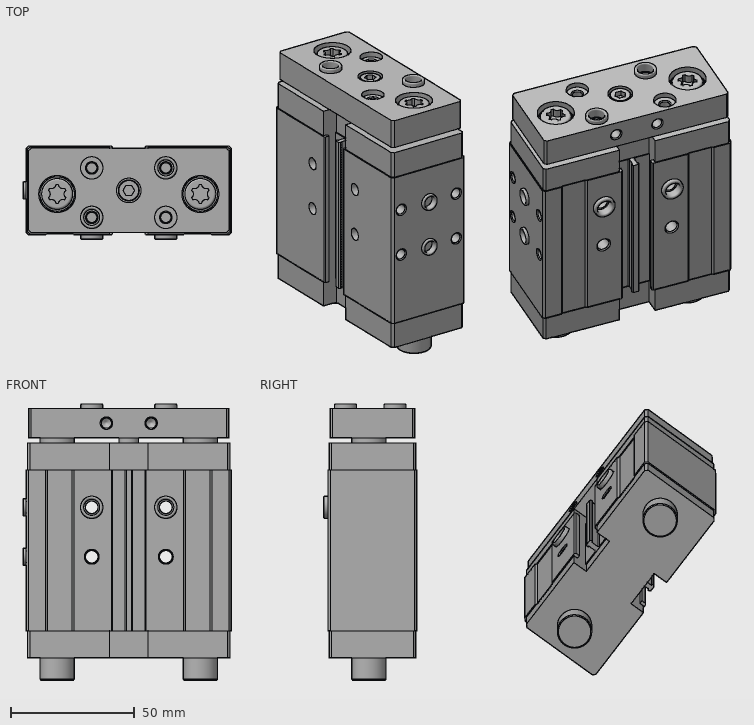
import cadquery as cq
import math


ROD_OVERHANG = 9.0
END_COVER_HEIGHT = 11.0
PROFILE_HEIGHT = 65.1
STROKE_GAP = 2.0
PLATE_THICKNESS = 12.0
PROFILE_BOTTOM = ROD_OVERHANG + END_COVER_HEIGHT
PROFILE_TOP = PROFILE_BOTTOM + PROFILE_HEIGHT
HOUSING_TOP = PROFILE_TOP + END_COVER_HEIGHT
PLATE_BOTTOM = HOUSING_TOP + STROKE_GAP
PLATE_TOP = PLATE_BOTTOM + PLATE_THICKNESS

PROFILE_WIDTH = 83.1
PROFILE_DEPTH = 36.0
COVER_WIDTH = 82.1
COVER_DEPTH = 35.1
PLATE_WIDTH = 80.9
PLATE_DEPTH = 34.2
CORNER_CHAMFER = 1.0

COVER_SLOT_WIDTH = 15.7
COVER_SLOT_FLOOR_Y = 11.3
PROFILE_SLOT_FLOOR_Y = 11.6
SLOT_MOUTH = 14.1
SLOT_LIP_CHAMFER = 0.6
SLOT_LIP_DEPTH = 2.2
RIB_WIDTH = 2.9
RIB_NECK_WIDTH = 2.0
RIB_TOP_Y = 16.2
RIB_HEAD_HEIGHT = 1.2

RELIEF_INNER = 22.5
RELIEF_OUTER = 33.2
RELIEF_DEPTH = 0.8

GUIDE_X = 29.0
GUIDE_Y = -1.5
GUIDE_DIAMETER = 14.0
GUIDE_END_CHAMFER = 0.5
HEAD_DIAMETER = 12.5
HEAD_FILLET = 0.9
HEAD_RECESS = 0.9
GUIDE_BORE_DIAMETER = 15.0
GUIDE_BORE_DEPTH = 3.4
TORX_TIP_RADIUS = 3.8
TORX_ROOT_RADIUS = 2.8
TORX_TIP_HALF_ANGLE = 8
TORX_LOBES = 6
TORX_PITCH = 360 / TORX_LOBES
TORX_DEPTH = 3.4

PISTON_DIAMETER = 8.0
PISTON_BORE_DIAMETER = 10.0
PISTON_BORE_DEPTH = 2.0
PISTON_END_DIAMETER = 8.5
PISTON_END_RECESS = 0.5
PISTON_END_CHAMFER = 0.2
HEX_ACROSS_FLATS = 4.0
HEX_DEPTH = 2.2

OVERALL_HEIGHT = 111.8
LARGE_SLEEVE = (9.0, 6.5, 2.1, OVERALL_HEIGHT - PLATE_TOP)
SMALL_SLEEVE = (7.0, 5.3, 1.6, 1.2)
SLEEVE_ROUNDING = 0.48

GRID_PITCH_X = 30.0
GRID_PITCH = 20.0
PLATE_GRID_Y = -0.9
UPPER_ROW_Z = 70.0
LOWER_ROW_Z = UPPER_ROW_Z - GRID_PITCH
MOUNTING_HOLE_DIAMETER = 5.0
MOUNTING_HOLE_MOUTH = 6.0
THREAD_CORE_DIAMETER = 4.1
THREAD_MOUTH_DIAMETER = 5.0
THREAD_DEPTH = 8.0
DRILL_TIP_ANGLE = 118
SIDE_HOLE_Y = 13.5
PLATE_HOLE_X = 9.0

X_AXIS = cq.Vector(1, 0, 0)
Y_AXIS = cq.Vector(0, 1, 0)
DOWN = cq.Vector(0, 0, -1)


def bar(diameter, length, start, direction):
    return cq.Workplane(obj=cq.Solid.makeCylinder(diameter / 2, length, cq.Vector(*start), direction))


def chamfered_block(width, depth, bottom, height):
    block = cq.Workplane("XY", origin=(0, 0, bottom)).rect(width, depth).extrude(height)
    return block.edges("|Z").chamfer(CORNER_CHAMFER)


def countersink(core, mouth, start, direction):
    cone = cq.Solid.makeCone(mouth / 2, core / 2, (mouth - core) / 2, cq.Vector(*start), direction)
    return cq.Workplane(obj=cone)


def threaded_hole(start, direction):
    """Blind hole with a countersunk mouth and a drill tip."""
    radius = THREAD_CORE_DIAMETER / 2
    tip_length = radius / math.tan(math.radians(DRILL_TIP_ANGLE / 2))
    tip_base = cq.Vector(*start) + direction * THREAD_DEPTH
    tip = cq.Workplane(obj=cq.Solid.makeCone(radius, 0, tip_length, tip_base, direction))
    hole = bar(THREAD_CORE_DIAMETER, THREAD_DEPTH, start, direction).union(tip)
    return hole.union(countersink(THREAD_CORE_DIAMETER, THREAD_MOUTH_DIAMETER, start, direction))



def sleeve(size, mouth, outward):
    """Ring seated in a recess whose mouth lies on the surface, projecting outward."""
    outer, bore, seat, projection = size
    length = seat + projection
    wall = (outer - bore) / 2
    ring = (
        cq.Workplane("XY")
        .circle(outer / 2)
        .circle(bore / 2)
        .extrude(length)
        .faces(">Z")
        .edges()
        .fillet(SLEEVE_ROUNDING * wall)
    )
    seat_floor = cq.Vector(*mouth) - outward * seat
    return ring.val().moved(cq.Plane(seat_floor, normal=outward).location)


def sleeve_seat(size, mouth, inward):
    outer, _, seat, _ = size
    return bar(outer, seat, mouth, inward)



def t_slot():
    """Cutter for the front slot of the profile, with its undercut lips and middle rib."""
    face = -PROFILE_DEPTH / 2
    lip_half = SLOT_MOUTH / 2 - SLOT_LIP_CHAMFER
    opening = (
        cq.Workplane("XY", origin=(0, 0, PROFILE_BOTTOM))
        .polyline([
            (-SLOT_MOUTH / 2, face),
            (-lip_half, face + SLOT_LIP_CHAMFER),
            (-lip_half, face + SLOT_LIP_DEPTH),
            (-COVER_SLOT_WIDTH / 2, face + SLOT_LIP_DEPTH),
            (-COVER_SLOT_WIDTH / 2, -PROFILE_SLOT_FLOOR_Y),
            (COVER_SLOT_WIDTH / 2, -PROFILE_SLOT_FLOOR_Y),
            (COVER_SLOT_WIDTH / 2, face + SLOT_LIP_DEPTH),
            (lip_half, face + SLOT_LIP_DEPTH),
            (lip_half, face + SLOT_LIP_CHAMFER),
            (SLOT_MOUTH / 2, face),
        ])
        .close()
        .extrude(PROFILE_HEIGHT)
    )
    bevel = (RIB_WIDTH - RIB_NECK_WIDTH) / 2
    rib = (
        cq.Workplane("XY", origin=(0, 0, PROFILE_BOTTOM))
        .moveTo(-RIB_WIDTH / 2, -PROFILE_SLOT_FLOOR_Y)
        .lineTo(-RIB_NECK_WIDTH / 2, -PROFILE_SLOT_FLOOR_Y - bevel)
        .lineTo(-RIB_NECK_WIDTH / 2, -RIB_TOP_Y + RIB_HEAD_HEIGHT)
        .lineTo(-RIB_WIDTH / 2, -RIB_TOP_Y + RIB_HEAD_HEIGHT)
        .lineTo(-RIB_WIDTH / 2, -RIB_TOP_Y + bevel)
        .lineTo(-RIB_NECK_WIDTH / 2, -RIB_TOP_Y)
        .lineTo(0, -RIB_TOP_Y)
        .lineTo(0, -PROFILE_SLOT_FLOOR_Y)
        .close()
        .extrude(PROFILE_HEIGHT)
    )
    return opening.cut(rib).cut(rib.mirror("YZ"))


def relief_strip():
    """Shallow sloped-sided strip on the front face, right of the middle."""
    face = -PROFILE_DEPTH / 2
    return (
        cq.Workplane("XY", origin=(0, 0, PROFILE_BOTTOM))
        .polyline([
            (RELIEF_INNER - RELIEF_DEPTH / 2, face),
            (RELIEF_INNER + RELIEF_DEPTH / 2, face + RELIEF_DEPTH),
            (RELIEF_OUTER - RELIEF_DEPTH / 2, face + RELIEF_DEPTH),
            (RELIEF_OUTER + RELIEF_DEPTH / 2, face),
        ])
        .close()
        .extrude(PROFILE_HEIGHT)
    )


def profile_section():
    body = chamfered_block(PROFILE_WIDTH, PROFILE_DEPTH, PROFILE_BOTTOM, PROFILE_HEIGHT)
    slot = t_slot()
    strip = relief_strip()
    return body.cut(slot).cut(slot.mirror("XZ")).cut(strip).cut(strip.mirror("YZ"))


def end_cover(bottom):
    cover = chamfered_block(COVER_WIDTH, COVER_DEPTH, bottom, END_COVER_HEIGHT)
    slot_depth = COVER_DEPTH / 2 - COVER_SLOT_FLOOR_Y
    for side in (-1, 1):
        slot_centre = side * (COVER_SLOT_FLOOR_Y + slot_depth / 2)
        slot = (
            cq.Workplane("XY", origin=(0, slot_centre, bottom))
            .rect(COVER_SLOT_WIDTH, slot_depth)
            .extrude(END_COVER_HEIGHT)
        )
        cover = cover.cut(slot)
    return cover


FRONT_SLEEVE_MOUTHS = [(side * GRID_PITCH_X / 2, -PROFILE_DEPTH / 2, UPPER_ROW_Z) for side in (-1, 1)]
SIDE_SLEEVE_MOUTHS = [(-PROFILE_WIDTH / 2, 0, z) for z in (LOWER_ROW_Z, UPPER_ROW_Z)]


def make_housing():
    housing = profile_section()
    housing = housing.union(end_cover(ROD_OVERHANG)).union(end_cover(PROFILE_TOP))

    for side in (-1, 1):
        top = (side * GUIDE_X, GUIDE_Y, HOUSING_TOP)
        housing = housing.cut(bar(GUIDE_DIAMETER, HOUSING_TOP, top, DOWN))
    piston_bore = bar(PISTON_DIAMETER, HOUSING_TOP - PROFILE_BOTTOM, (0, 0, HOUSING_TOP), DOWN)
    housing = housing.cut(piston_bore)

    for side in (-1, 1):
        for z in (LOWER_ROW_Z, UPPER_ROW_Z):
            mouth = (side * GRID_PITCH_X / 2, -PROFILE_DEPTH / 2, z)
            housing = housing.cut(bar(MOUNTING_HOLE_DIAMETER, PROFILE_DEPTH, mouth, Y_AXIS))
            housing = housing.cut(countersink(MOUNTING_HOLE_DIAMETER, MOUNTING_HOLE_MOUTH, mouth, Y_AXIS))
    for mouth in FRONT_SLEEVE_MOUTHS:
        housing = housing.cut(sleeve_seat(LARGE_SLEEVE, mouth, Y_AXIS))

    for mouth in SIDE_SLEEVE_MOUTHS:
        housing = housing.cut(sleeve_seat(SMALL_SLEEVE, mouth, X_AXIS))
        for y in (-SIDE_HOLE_Y, SIDE_HOLE_Y):
            housing = housing.cut(threaded_hole((mouth[0], y, mouth[2]), X_AXIS))
    return housing



def torx_socket(x, top):
    """Six-lobed socket with a lobe pointing along Y."""
    def point(radius, degrees):
        angle = math.radians(degrees)
        return (radius * math.cos(angle), radius * math.sin(angle))

    flank_radius = TORX_TIP_RADIUS * math.cos(math.radians(TORX_TIP_HALF_ANGLE))
    first_tip = TORX_PITCH / 2
    outline = cq.Workplane("XY", origin=(x, GUIDE_Y, top))
    outline = outline.moveTo(*point(flank_radius, first_tip - TORX_TIP_HALF_ANGLE))
    for lobe in range(TORX_LOBES):
        tip = first_tip + TORX_PITCH * lobe
        next_flank = tip + TORX_PITCH - TORX_TIP_HALF_ANGLE
        outline = (
            outline
            .threePointArc(point(TORX_TIP_RADIUS, tip), point(flank_radius, tip + TORX_TIP_HALF_ANGLE))
            .threePointArc(point(TORX_ROOT_RADIUS, tip + TORX_PITCH / 2), point(flank_radius, next_flank))
        )
    return outline.close().extrude(-TORX_DEPTH)


def make_guide_rod(side):
    """Rod through the housing and into the plate, ending in a narrower rounded head."""
    x = side * GUIDE_X
    shoulder = PLATE_TOP - GUIDE_BORE_DEPTH
    head_top = PLATE_TOP - HEAD_RECESS
    rod = cq.Workplane("XY", origin=(x, GUIDE_Y, 0)).circle(GUIDE_DIAMETER / 2).extrude(shoulder)
    rod = rod.faces("<Z").edges().chamfer(GUIDE_END_CHAMFER)
    head = (
        cq.Workplane("XY", origin=(x, GUIDE_Y, shoulder))
        .circle(HEAD_DIAMETER / 2)
        .extrude(head_top - shoulder)
        .faces(">Z")
        .edges()
        .fillet(HEAD_FILLET)
    )
    return rod.union(head).cut(torx_socket(x, head_top))



PLATE_SEAT_SIGNS = [(x, y) for x in (-1, 1) for y in (-1, 1)]


def plate_seat_mouth(x_sign, y_sign):
    return (x_sign * GRID_PITCH_X / 2, PLATE_GRID_Y + y_sign * GRID_PITCH / 2, PLATE_TOP)


PLATE_SLEEVE_MOUTHS = [plate_seat_mouth(sign, sign) for sign in (-1, 1)]


def make_yoke():
    yoke = chamfered_block(PLATE_WIDTH, PLATE_DEPTH, PLATE_BOTTOM, PLATE_THICKNESS)

    for side in (-1, 1):
        top = (side * GUIDE_X, GUIDE_Y, PLATE_TOP)
        yoke = yoke.cut(bar(GUIDE_DIAMETER, PLATE_THICKNESS, top, DOWN))
        yoke = yoke.cut(bar(GUIDE_BORE_DIAMETER, GUIDE_BORE_DEPTH, top, DOWN))

    for x_sign, y_sign in PLATE_SEAT_SIGNS:
        x, y, top = plate_seat_mouth(x_sign, y_sign)
        floor = top - LARGE_SLEEVE[2]
        yoke = yoke.cut(sleeve_seat(LARGE_SLEEVE, (x, y, top), DOWN))
        yoke = yoke.cut(bar(THREAD_CORE_DIAMETER, PLATE_THICKNESS, (x, y, top), DOWN))
        yoke = yoke.cut(countersink(THREAD_CORE_DIAMETER, THREAD_MOUTH_DIAMETER, (x, y, floor), DOWN))

    for side in (-1, 1):
        mouth = (side * PLATE_HOLE_X, -PLATE_DEPTH / 2, PLATE_BOTTOM + PLATE_THICKNESS / 2)
        yoke = yoke.cut(threaded_hole(mouth, Y_AXIS))

    end_top = PLATE_TOP - PISTON_END_RECESS
    end_base = PLATE_TOP - PISTON_BORE_DEPTH
    rod_end = (
        cq.Workplane("XY", origin=(0, 0, end_base))
        .circle(PISTON_END_DIAMETER / 2)
        .extrude(end_top - end_base)
        .faces(">Z")
        .edges()
        .chamfer(PISTON_END_CHAMFER)
    )
    hex_across_corners = HEX_ACROSS_FLATS / math.cos(math.radians(30))
    socket = cq.Workplane("XY", origin=(0, 0, end_top)).polygon(6, hex_across_corners).extrude(-HEX_DEPTH)
    rod = bar(PISTON_DIAMETER, PLATE_BOTTOM - PROFILE_BOTTOM, (0, 0, PLATE_BOTTOM), DOWN)
    yoke = yoke.cut(bar(PISTON_BORE_DIAMETER, PISTON_BORE_DEPTH, (0, 0, PLATE_TOP), DOWN))
    return yoke.union(rod_end).union(rod).cut(socket)


housing = make_housing()
yoke = make_yoke()
guide_rods = [make_guide_rod(side).val() for side in (-1, 1)]
plate_sleeves = [sleeve(LARGE_SLEEVE, mouth, -DOWN) for mouth in PLATE_SLEEVE_MOUTHS]
front_sleeves = [sleeve(LARGE_SLEEVE, mouth, -Y_AXIS) for mouth in FRONT_SLEEVE_MOUTHS]
side_sleeves = [sleeve(SMALL_SLEEVE, mouth, -X_AXIS) for mouth in SIDE_SLEEVE_MOUTHS]

result = cq.Compound.makeCompound([
    housing.val(),
    yoke.val(),
    *guide_rods,
    *plate_sleeves,
    *front_sleeves,
    *side_sleeves,
])